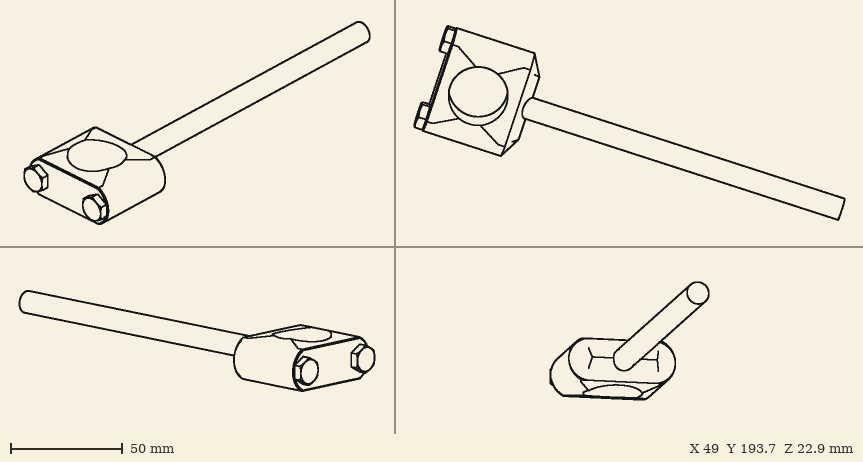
import cadquery as cq
import math


body_width = 49.0
body_depth = 37.2
body_height = 19.2
flat_width = 36.8
front_chamfer = 0.48

collar_height = 22.9
collar_depth = 31.0
crown_width = 24.8
crown_depth = 10.5
bore_diameter = 26.5

roof_depth = 5.5
ridge_width = 29.8
rod_diameter = 10.0
total_length = 193.7

head_flats = 11.0
head_depth = 3.9
head_spacing = 36.5
head_chamfer_angle = 30.0

front_y = -body_depth / 2
back_y = body_depth / 2
ridge_y = back_y + roof_depth
head_front_y = front_y - head_depth
rod_end_y = head_front_y + total_length


def plane_facing_back(y):
    """Plane at the given Y with local x = X, local y = -Z and its normal along +Y."""
    return cq.Workplane(cq.Plane(origin=(0, y, 0), xDir=(1, 0, 0), normal=(0, 1, 0)))


def make_body():
    """Flat block with bulging round ends, chamfered around its front face."""
    half_flat = flat_width / 2
    half_width = body_width / 2
    half_height = body_height / 2
    return (
        plane_facing_back(front_y)
        .moveTo(-half_flat, half_height)
        .lineTo(half_flat, half_height)
        .threePointArc((half_width, 0), (half_flat, -half_height))
        .lineTo(-half_flat, -half_height)
        .threePointArc((-half_width, 0), (-half_flat, half_height))
        .close()
        .extrude(body_depth)
        .faces("<Y")
        .chamfer(front_chamfer)
    )


def slope_profile(plane, base_width, top_width, length):
    """Bar along the plane normal whose top and bottom slope up to a flat crown."""
    half_base = base_width / 2
    half_top = top_width / 2
    low = body_height / 2
    high = collar_height / 2
    points = [
        (-half_base, -low),
        (-half_top, -high),
        (half_top, -high),
        (half_base, -low),
        (half_base, low),
        (half_top, high),
        (-half_top, high),
        (-half_base, low),
    ]
    return cq.Workplane(plane).polyline(points).close().extrude(length / 2, both=True)


def make_collar():
    """Hipped collar: the overlap of a bar sloping along X and a bar sloping along Y."""
    side_slopes = slope_profile("XZ", flat_width, crown_width, collar_depth)
    end_slopes = slope_profile("YZ", collar_depth, crown_depth, flat_width)
    return side_slopes.intersect(end_slopes)


def make_roof():
    """Wedge running out to a ridge along X, closed by a cone at each end."""
    half_ridge = ridge_width / 2
    half_height = body_height / 2
    roof = (
        cq.Workplane("YZ")
        .polyline([(back_y, -half_height), (ridge_y, 0), (back_y, half_height)])
        .close()
        .extrude(half_ridge, both=True)
    )
    for x in (-half_ridge, half_ridge):
        cone = cq.Solid.makeCone(half_height, 0, roof_depth, cq.Vector(x, back_y, 0), cq.Vector(0, 1, 0))
        roof = roof.union(cq.Workplane(cone))
    return roof


def make_rod():
    """Round rod running from inside the tapered back to the far end."""
    return plane_facing_back(back_y).circle(rod_diameter / 2).extrude(rod_end_y - back_y)


def make_bolt_head(x):
    """Hexagon with two flats facing along X and its outer corners turned off to a cone."""
    sides = 6
    corner_diameter = head_flats / math.cos(math.pi / sides)
    slope = math.tan(math.radians(head_chamfer_angle))
    start = plane_facing_back(head_front_y).center(x, 0)
    hexagon = start.transformed(rotate=(0, 0, 90)).polygon(sides, corner_diameter).extrude(head_depth)
    cone_radius = head_flats / 2 + head_depth / slope
    cone = cq.Solid.makeCone(
        head_flats / 2, cone_radius, head_depth, cq.Vector(x, head_front_y, 0), cq.Vector(0, 1, 0)
    )
    return hexagon.intersect(cq.Workplane(cone))


result = make_body().union(make_collar()).union(make_roof()).union(make_rod())
for head_x in (-head_spacing / 2, head_spacing / 2):
    result = result.union(make_bolt_head(head_x))
bore = cq.Workplane("XY").circle(bore_diameter / 2).extrude(collar_height, both=True)
result = result.cut(bore)